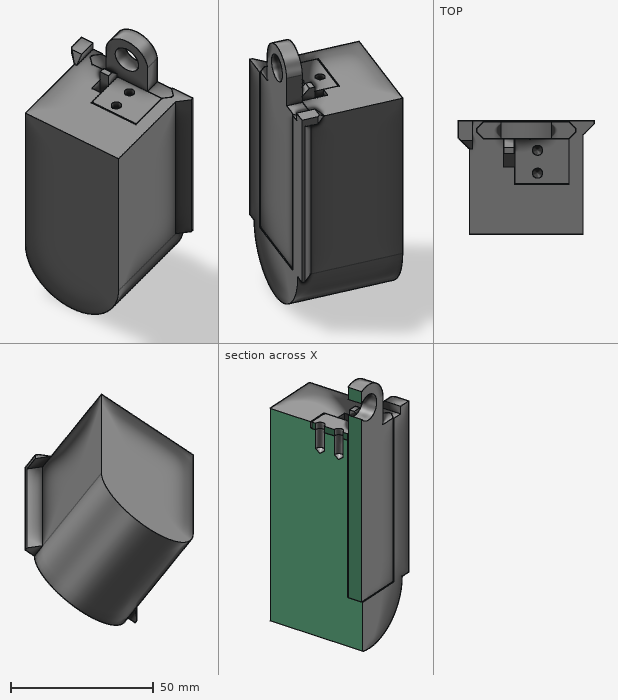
import cadquery as cq
import math


OVERALL_HEIGHT = 104.5
HOUSING_SIZE = 40.0
HOUSING_RADIUS = HOUSING_SIZE / 2

LOOP_RADIUS = 9.0
LOOP_NECK_WIDTH = 17.9
LOOP_HOLE_DIAMETER = 10.0
LOOP_CENTRE_HEIGHT = 10.6

STRAIGHT_HEIGHT = OVERALL_HEIGHT - LOOP_CENTRE_HEIGHT - LOOP_RADIUS - HOUSING_RADIUS

FLANGE_WIDTH = 4.0
FLANGE_EDGE = 1.0
FLANGE_X = HOUSING_RADIUS + FLANGE_WIDTH
STOP_HEIGHT = 3.0
STOP_WIDTH = 5.0
STOP_SIDE_DEPTH = 6.1
STOP_DEPTH = STOP_SIDE_DEPTH + FLANGE_WIDTH

CHANNEL_MOUTH_WIDTH = 30.0
CHANNEL_LIP = 0.3
CHANNEL_DEPTH = 6.5
CHANNEL_BEVEL = 2.5
CHANNEL_LENGTH = STRAIGHT_HEIGHT
SLIDE_CLEARANCE = 0.1

PLATE_LEFT = -4.0
PLATE_RIGHT = CHANNEL_MOUTH_WIDTH / 2
PLATE_FRONT_DEPTH = 22.1
PLATE_THICKNESS = 2.5
PLATE_SIDE_GAP = 0.1
PLATE_FRONT_GAP = 0.4

SCREW_DIAMETER = 3.6
SCREW_X = 4.0
SCREW_FIRST_DEPTH = 10.5
SCREW_COUNT = 2
SCREW_PITCH = 8.0
SCREW_LENGTH = 10.0
SCREW_TIP_HEIGHT = 1.4

POCKET_LEFT = -8.0
POCKET_RIGHT = 1.5
POCKET_FRONT_DEPTH = 16.4
POCKET_BOTTOM = -8.0
LATCH_CLEARANCE = 0.26
LATCH_FRONT_DEPTH = 11.6
LATCH_HEIGHT = 4.4
LATCH_TOP_LENGTH = 2.1


def block(left, right, back_depth, front_depth, bottom, top):
    """Box between the given limits."""
    size = (right - left, front_depth - back_depth, top - bottom)
    return cq.Workplane("XY").box(*size, centered=False).translate((left, -front_depth, bottom))


def bevelled_outline():
    """Dovetail cross-section shared by channel and slide, widest halfway through its depth."""
    mouth_x = CHANNEL_MOUTH_WIDTH / 2
    wide_x = mouth_x + CHANNEL_BEVEL
    outer_depth = CHANNEL_LIP + CHANNEL_BEVEL
    inner_depth = CHANNEL_DEPTH - CHANNEL_BEVEL
    return cq.Workplane("XY").polyline([
        (-mouth_x, -CHANNEL_LIP),
        (mouth_x, -CHANNEL_LIP),
        (wide_x, -outer_depth),
        (wide_x, -inner_depth),
        (mouth_x, -CHANNEL_DEPTH),
        (-mouth_x, -CHANNEL_DEPTH),
        (-wide_x, -inner_depth),
        (-wide_x, -outer_depth),
    ]).close()


def channel():
    """Space of the dovetail channel, with its mouth in the back face."""
    mouth_x = CHANNEL_MOUTH_WIDTH / 2
    mouth = block(-mouth_x, mouth_x, 0, CHANNEL_LIP, -CHANNEL_LENGTH, 0)
    return bevelled_outline().extrude(-CHANNEL_LENGTH).union(mouth)


def screw_holes():
    """Blind drilled holes with conical tips, as cutting tools."""
    tools = cq.Workplane("XY")
    radius = SCREW_DIAMETER / 2
    for number in range(SCREW_COUNT):
        depth = SCREW_FIRST_DEPTH + number * SCREW_PITCH
        drill = (
            cq.Workplane("XZ")
            .polyline([
                (0, 0),
                (radius, 0),
                (radius, -SCREW_LENGTH),
                (0, -SCREW_LENGTH - SCREW_TIP_HEIGHT),
            ])
            .close()
            .revolve(360, (0, 0), (0, 1))
            .translate((SCREW_X, -depth, 0))
        )
        tools = tools.add(drill)
    return tools.combine()


def make_flanges():
    """Pair of flanges with a sloped front, along the straight part of the housing."""
    return (
        cq.Workplane("XY")
        .polyline([
            (-FLANGE_X, 0),
            (FLANGE_X, 0),
            (FLANGE_X, -FLANGE_EDGE),
            (HOUSING_RADIUS, -FLANGE_EDGE - FLANGE_WIDTH),
            (-HOUSING_RADIUS, -FLANGE_EDGE - FLANGE_WIDTH),
            (-FLANGE_X, -FLANGE_EDGE),
        ])
        .close()
        .extrude(-STRAIGHT_HEIGHT)
    )


def make_stop():
    """End stop on the left flange, its front sloped back at 45 degrees."""
    inner_x = -FLANGE_X + STOP_WIDTH
    stop = (
        cq.Workplane("XY")
        .polyline([
            (-FLANGE_X, 0),
            (inner_x, 0),
            (inner_x, -STOP_DEPTH),
            (-HOUSING_RADIUS, -STOP_DEPTH),
            (-FLANGE_X, -STOP_SIDE_DEPTH),
        ])
        .close()
        .extrude(STOP_HEIGHT)
    )
    slope = (
        cq.Workplane("YZ", origin=(-FLANGE_X, 0, 0))
        .polyline([
            (-STOP_DEPTH, 0),
            (-STOP_DEPTH, STOP_HEIGHT),
            (-STOP_DEPTH + STOP_HEIGHT, STOP_HEIGHT),
        ])
        .close()
        .extrude(STOP_WIDTH)
    )
    return stop.cut(slope)


def make_housing():
    shell = (
        cq.Workplane("XZ")
        .moveTo(-HOUSING_RADIUS, 0)
        .lineTo(HOUSING_RADIUS, 0)
        .lineTo(HOUSING_RADIUS, -STRAIGHT_HEIGHT)
        .threePointArc((0, -STRAIGHT_HEIGHT - HOUSING_RADIUS), (-HOUSING_RADIUS, -STRAIGHT_HEIGHT))
        .close()
        .extrude(HOUSING_SIZE)
    )
    plate_recess = block(
        PLATE_LEFT - PLATE_SIDE_GAP, PLATE_RIGHT + PLATE_SIDE_GAP,
        CHANNEL_DEPTH, PLATE_FRONT_DEPTH + PLATE_FRONT_GAP,
        -PLATE_THICKNESS, 0,
    )
    latch_slot = block(POCKET_LEFT, PLATE_LEFT, CHANNEL_DEPTH, POCKET_FRONT_DEPTH, POCKET_BOTTOM, 0)
    latch_pocket = block(
        POCKET_LEFT, POCKET_RIGHT, CHANNEL_DEPTH, POCKET_FRONT_DEPTH, POCKET_BOTTOM, -PLATE_THICKNESS
    )
    return (
        shell
        .union(make_flanges())
        .union(make_stop())
        .cut(channel())
        .cut(plate_recess)
        .cut(latch_slot)
        .cut(latch_pocket)
        .cut(screw_holes())
    )


def make_slide():
    """Dovetail tongue filling the channel, with a pierced loop standing on it."""
    tongue = bevelled_outline().offset2D(-SLIDE_CLEARANCE, "intersection").extrude(-CHANNEL_LENGTH)
    back_depth = CHANNEL_LIP + SLIDE_CLEARANCE
    front_depth = CHANNEL_DEPTH - SLIDE_CLEARANCE
    neck_x = LOOP_NECK_WIDTH / 2
    neck_height = LOOP_CENTRE_HEIGHT + math.sqrt(LOOP_RADIUS**2 - neck_x**2)
    loop = (
        cq.Workplane("XZ", origin=(0, -back_depth, 0))
        .moveTo(-neck_x, 0)
        .lineTo(neck_x, 0)
        .lineTo(neck_x, neck_height)
        .threePointArc((0, LOOP_CENTRE_HEIGHT + LOOP_RADIUS), (-neck_x, neck_height))
        .close()
        .moveTo(0, LOOP_CENTRE_HEIGHT)
        .circle(LOOP_HOLE_DIAMETER / 2)
        .extrude(front_depth - back_depth)
    )
    return tongue.union(loop)


def make_plate():
    plate = block(PLATE_LEFT, PLATE_RIGHT, CHANNEL_DEPTH, PLATE_FRONT_DEPTH, -PLATE_THICKNESS, 0)
    return plate.cut(screw_holes())


def make_latch():
    """Base under the cover plate and a finger, sloped at the back, rising beside the plate."""
    left = POCKET_LEFT + LATCH_CLEARANCE
    base = block(
        left, POCKET_RIGHT - LATCH_CLEARANCE,
        CHANNEL_DEPTH, LATCH_FRONT_DEPTH,
        POCKET_BOTTOM, -PLATE_THICKNESS,
    )
    slope_depth = LATCH_FRONT_DEPTH - LATCH_TOP_LENGTH
    slope_rise = slope_depth - CHANNEL_DEPTH
    finger = (
        cq.Workplane("YZ", origin=(left, 0, 0))
        .polyline([
            (-LATCH_FRONT_DEPTH, -PLATE_THICKNESS),
            (-LATCH_FRONT_DEPTH, LATCH_HEIGHT),
            (-slope_depth, LATCH_HEIGHT),
            (-CHANNEL_DEPTH, LATCH_HEIGHT - slope_rise),
            (-CHANNEL_DEPTH, -PLATE_THICKNESS),
        ])
        .close()
        .extrude(PLATE_LEFT - LATCH_CLEARANCE - left)
    )
    return base.union(finger)


housing = make_housing()
slide = make_slide()
plate = make_plate()
latch = make_latch()

result = cq.Compound.makeCompound([housing.val(), slide.val(), plate.val(), latch.val()])